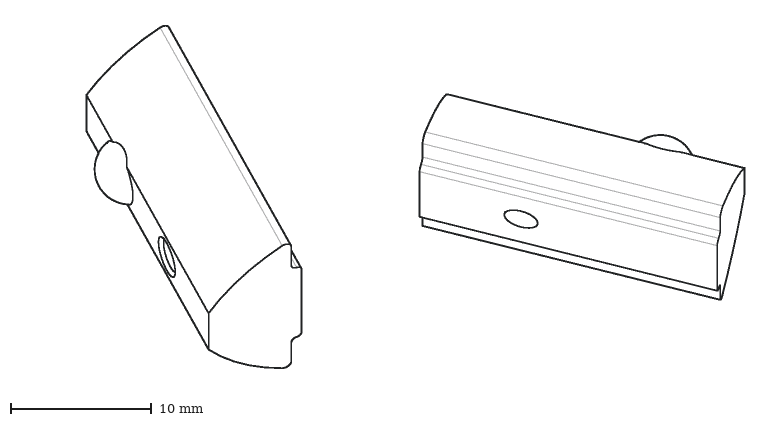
import cadquery as cq

length = 22.0
body_depth = 7.22
rail_depth = 0.8
rail_half_height = 3.87
wing_tip_half_height = 7.13
front_flat_half_height = 2.02
flank_radius = 14.48
wing_tip_fillet = 0.5
rail_corner_radius = rail_depth / 2

ball_radius = 2.5
ball_x = 6.0
ball_protrusion = 1.74

hole_x = 14.5
hole_diameter = 2.46
mouth_diameter = 3.01

ledge_y = body_depth - rail_depth
rail_round_meet_y = ledge_y + rail_corner_radius
rail_inner_half_height = rail_half_height + rail_corner_radius
rail_outer_half_height = rail_half_height - rail_corner_radius


def make_body():
    profile = (
        cq.Workplane("YZ")
        .moveTo(0, -front_flat_half_height)
        .lineTo(0, front_flat_half_height)
        .radiusArc((ledge_y, wing_tip_half_height), flank_radius)
        .lineTo(ledge_y, rail_inner_half_height)
        .radiusArc((rail_round_meet_y, rail_half_height), -rail_corner_radius)
        .radiusArc((body_depth, rail_outer_half_height), rail_corner_radius)
        .lineTo(body_depth, -rail_outer_half_height)
        .radiusArc((rail_round_meet_y, -rail_half_height), rail_corner_radius)
        .radiusArc((ledge_y, -rail_inner_half_height), -rail_corner_radius)
        .lineTo(ledge_y, -wing_tip_half_height)
        .radiusArc((0, -front_flat_half_height), flank_radius)
        .close()
    )
    body = profile.extrude(length)
    for tip_z in (wing_tip_half_height, -wing_tip_half_height):
        tip_edge = cq.selectors.NearestToPointSelector((length / 2, ledge_y, tip_z))
        body = body.edges("|X").edges(tip_edge).fillet(wing_tip_fillet)
    return body


def make_ball():
    center_y = ball_radius - ball_protrusion
    return cq.Workplane("XY").sphere(ball_radius).translate((ball_x, center_y, 0))


def make_hole():
    mouth_depth = (mouth_diameter - hole_diameter) / 2
    half_profile = (
        cq.Workplane("XY")
        .moveTo(0, 0)
        .lineTo(mouth_diameter / 2, 0)
        .lineTo(hole_diameter / 2, mouth_depth)
        .lineTo(hole_diameter / 2, body_depth)
        .lineTo(0, body_depth)
        .close()
    )
    return half_profile.revolve(360, (0, 0, 0), (0, 1, 0)).translate((hole_x, 0, 0))


result = make_body().union(make_ball()).cut(make_hole())